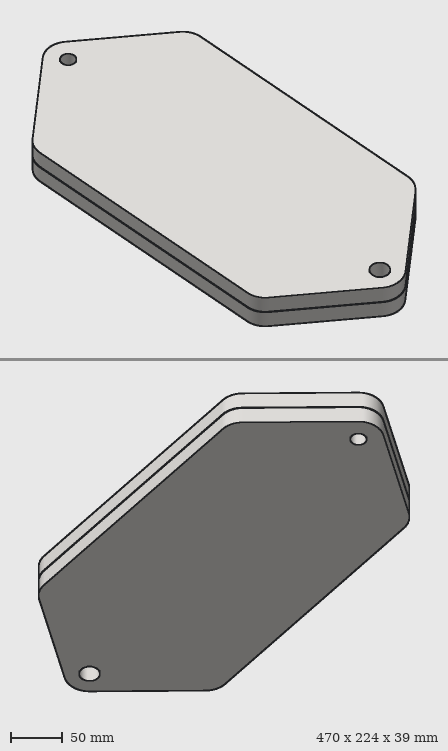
import cadquery as cq

length = 470.0
width = 224.0
stack_height = 39.0
plate_gap = 1.0
plate_thickness = (stack_height - plate_gap) / 2

corner_radius = 25.0
end_center_x = length / 2 - corner_radius
shoulder_center_x = 139.5
shoulder_center_y = width / 2 - corner_radius

small_hole_diameter = 16.0
large_hole_diameter = 20.0


def make_plate(bottom_z):
    """Rounded hexagonal plate with one small and one large through hole."""
    corner_centers = [
        (-end_center_x, 0),
        (-shoulder_center_x, shoulder_center_y),
        (shoulder_center_x, shoulder_center_y),
        (end_center_x, 0),
        (shoulder_center_x, -shoulder_center_y),
        (-shoulder_center_x, -shoulder_center_y),
    ]
    plate = (
        cq.Workplane("XY", origin=(0, 0, bottom_z))
        .polyline(corner_centers)
        .close()
        .offset2D(corner_radius, "arc")
        .extrude(plate_thickness)
    )
    for center_x, diameter in (
        (-end_center_x, small_hole_diameter),
        (end_center_x, large_hole_diameter),
    ):
        hole = (
            cq.Workplane("XY", origin=(center_x, 0, bottom_z))
            .circle(diameter / 2)
            .extrude(plate_thickness)
        )
        plate = plate.cut(hole)
    return plate


plates = [make_plate(bottom_z) for bottom_z in (-stack_height / 2, plate_gap / 2)]

result = cq.Compound.makeCompound([plate.val() for plate in plates])